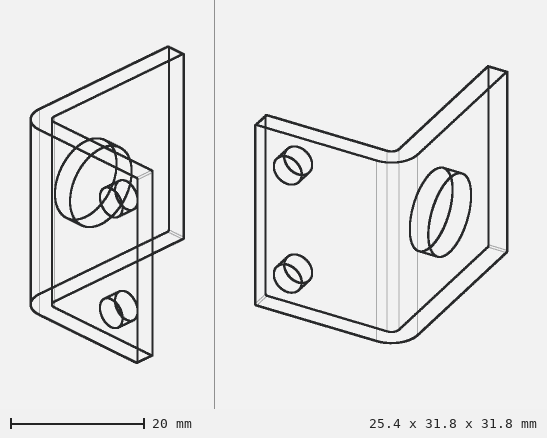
import cadquery as cq

width = 25.4
depth = 31.8
height = 31.8
thickness = 3.2
inner_bend_radius = 1.3
outer_bend_radius = inner_bend_radius + thickness
corner_radius = 0.25

screw_hole_diameter = 4.8
screw_hole_x = 19.8
screw_hole_spacing = 19.02

opening_diameter = 13.0
opening_y = 14.28


def bent_sheet():
    """L-shaped sheet with its outer bend at the origin corner."""
    long_leg = cq.Workplane("XY").box(thickness, depth, height, centered=False)
    short_leg = cq.Workplane("XY").box(width, thickness, height, centered=False)
    sheet = long_leg.union(short_leg)
    inner_corner = cq.selectors.NearestToPointSelector((thickness, thickness, height / 2))
    sheet = sheet.edges("|Z").edges(inner_corner).fillet(inner_bend_radius)
    outer_corner = cq.selectors.NearestToPointSelector((0, 0, height / 2))
    return sheet.edges("|Z").edges(outer_corner).fillet(outer_bend_radius)


def screw_holes():
    """Cutters along Y, placed evenly about mid-height."""
    cutters = cq.Workplane("XZ", origin=(0, thickness, 0))
    for side in (-1, 1):
        cutters = cutters.moveTo(screw_hole_x, height / 2 + side * screw_hole_spacing / 2)
        cutters = cutters.circle(screw_hole_diameter / 2)
    return cutters.extrude(thickness)


def opening():
    """Cutter along X at mid-height."""
    return cq.Workplane("YZ").center(opening_y, height / 2).circle(opening_diameter / 2).extrude(thickness)


bracket = bent_sheet()
bracket = bracket.faces(">X").edges("|Y").fillet(corner_radius)
bracket = bracket.faces(">Y").edges("|X").fillet(corner_radius)
result = bracket.cut(screw_holes()).cut(opening())